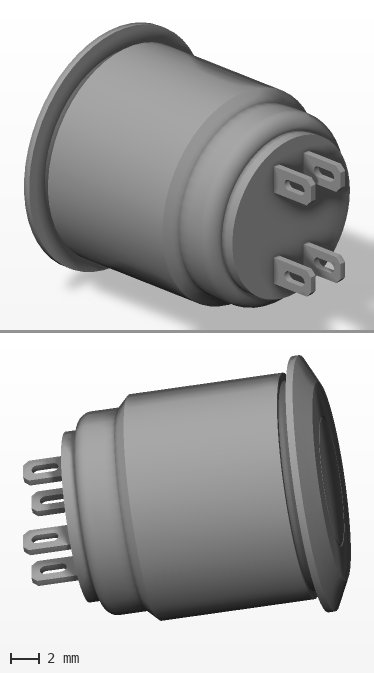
import cadquery as cq
import math

bevel_end = 1.0
flange_end = 1.5
neck_end = 2.32
body_end = 13.18
taper_end = 14.0
shoulder_end = 17.0
boss_end = 18.0
total_length = 21.5

face_diameter = 14.0
flange_diameter = 18.0
neck_diameter = 14.8
body_diameter = 15.9
shoulder_diameter = 14.3
boss_diameter = 12.0
shoulder_fillet = 1.0

button_diameter = 9.2
button_chamfer = 0.15

tab_width = 2.0
tab_thickness = 0.5
tab_corner_chamfer = 0.4
tab_offset_y = 1.5
tab_offset_z = 3.5
tab_root = 0.22
slot_length = 1.9
slot_width = 0.8
slot_start = 19.0


def make_housing():
    """Revolve the half profile (X along the axis, Y as radius) about the X axis."""
    shoulder_radius = shoulder_diameter / 2
    arc_start_x = shoulder_end - shoulder_fillet
    arc_centre_radius = shoulder_radius - shoulder_fillet
    arc_reach = shoulder_fillet * math.sqrt(0.5)
    return (
        cq.Workplane("XY")
        .lineTo(0, face_diameter / 2)
        .lineTo(bevel_end, flange_diameter / 2)
        .lineTo(flange_end, flange_diameter / 2)
        .lineTo(flange_end, neck_diameter / 2)
        .lineTo(neck_end, neck_diameter / 2)
        .lineTo(neck_end, body_diameter / 2)
        .lineTo(body_end, body_diameter / 2)
        .lineTo(taper_end, shoulder_radius)
        .lineTo(arc_start_x, shoulder_radius)
        .threePointArc(
            (arc_start_x + arc_reach, arc_centre_radius + arc_reach),
            (shoulder_end, arc_centre_radius),
        )
        .lineTo(shoulder_end, boss_diameter / 2)
        .lineTo(boss_end, boss_diameter / 2)
        .lineTo(boss_end, 0)
        .close()
        .revolve(360, (0, 0, 0), (1, 0, 0))
    )


def make_button_groove():
    """Ring cutter with a straight outer wall and the button chamfer as its inner wall."""
    button_radius = button_diameter / 2
    return (
        cq.Workplane("XY")
        .moveTo(0, button_radius - button_chamfer)
        .lineTo(0, button_radius)
        .lineTo(button_chamfer, button_radius)
        .close()
        .revolve(360, (0, 0, 0), (1, 0, 0))
    )


def make_tab(y, z):
    """Flat slotted tab centred at (y, z), pointing toward +X."""
    start_x = boss_end - tab_root
    length = total_length - start_x
    blade = (
        cq.Workplane("XY")
        .box(length, tab_thickness, tab_width, centered=(False, True, True))
        .edges("|Y and >X")
        .chamfer(tab_corner_chamfer)
        .translate((start_x, y, z))
    )
    slot = (
        cq.Workplane("XZ", origin=(slot_start + slot_length / 2, y, z))
        .slot2D(slot_length, slot_width)
        .extrude(tab_thickness, both=True)
    )
    return blade.cut(slot)


result = make_housing().cut(make_button_groove())
for side_y in (-1, 1):
    for side_z in (-1, 1):
        result = result.union(make_tab(side_y * tab_offset_y, side_z * tab_offset_z))